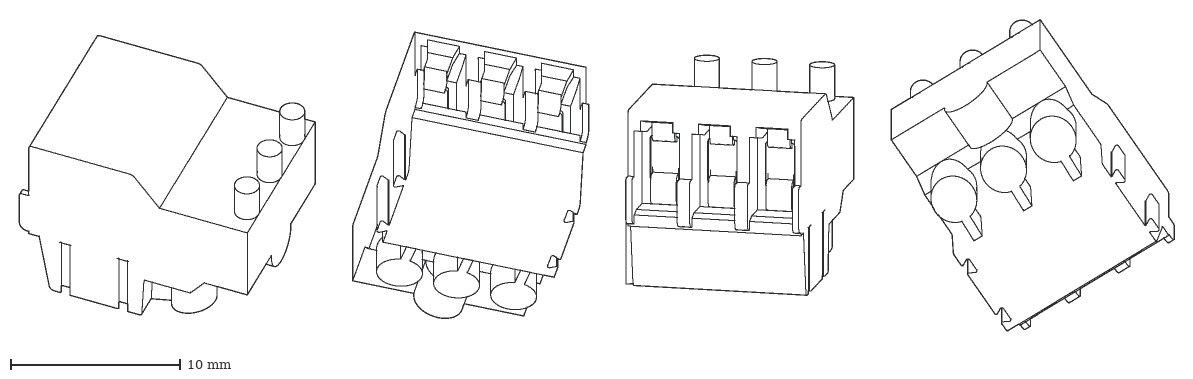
import cadquery as cq
import math

length = 14.6
height = 11.1
width = 10.5
pole_count = 3
pitch = width / pole_count
pole_centers = [(pole + 0.5) * pitch for pole in range(pole_count)]

face_x = 0.6
crown_end_x = 7.25
ledge_start_x = 8.98
ledge_z = 9.02
shoulder_z = 4.03
plug_top_x, plug_foot_x = 1.27, 1.95
plug_rear_foot_x, plug_rear_top_x = 7.84, 7.99
step_z = 2.9
step_end_x = 10.95
tail_x = 11.84
crown_front_radius = 0.22
crown_rear_radius = 0.5
plug_front_radius = 0.35
plug_rear_radius = 0.15
step_radius = 0.13

fin_width = 0.76
fin_bottom_z, fin_top_z = 4.2, 7.08
fin_bottom_radius = 0.53
fin_top_radius = 0.18

bay_width = pitch - fin_width
bay_back_x = 2.72
bay_mouth_x = 1.36
bay_lip_z, bay_floor_z = 4.73, 4.92
bay_lip_end_x = 1.18
bay_mouth_top_z, bay_top_z = 9.85, 9.67
notch_mouth_width, notch_width = 1.95, 1.55
notch_mouth_top_z, notch_top_z = 10.5, 10.25
notch_bottom_z = 8.76

wire_hole_width = 1.78
wire_hole_bottom_z, wire_hole_top_z = 6.38, 9.1
wire_hole_radius = 0.18
wire_hole_back_x = 2.92
clamp_front_x = 2.34
lower_clamp_width = 1.56
lower_clamp_bottom_z, lower_clamp_top_z = bay_floor_z, 6.79
lower_clamp_radius = 0.47
upper_clamp_width = 1.37
upper_clamp_bottom_z, upper_clamp_top_z = 8.76, 10.07
upper_clamp_radius = 0.5
bevel_top_z = 7.12
bevel_depth = 0.06

pin_radius = 0.75

socket_radius = 1.36
socket_x = tail_x - socket_radius
socket_web_width = 0.58
slant_start_x = 7.45
slant_end_z = 1.12
key_radius = 1.5
key_bottom_z = 2.3

dovetail_x = [2.93, 6.63]
rib_height = 0.58
rib_neck_half_width = 0.25
rib_neck_height = 0.07
rib_flare = 0.58
rib_corner_radius = 0.12
groove_clearance = 0.03
groove_lip_radius = 0.09


def side_profile(points, thickness):
    """Solid with an outline in XZ, running from y = 0 towards +Y."""
    return cq.Workplane("XZ").polyline(points).close().extrude(-thickness)


def box(x_range, y_center, y_width, z_range):
    """Box given by its X and Z ranges, centred on y_center."""
    return (
        cq.Workplane("XY")
        .box(x_range[1] - x_range[0], y_width, z_range[1] - z_range[0], centered=(False, True, False))
        .translate((x_range[0], y_center, z_range[0]))
    )


def round_edge(solid, x, z, radius):
    """Fillet the edge along Y that passes through (x, z)."""
    reach = 0.007
    selector = cq.selectors.BoxSelector(
        (x - reach, -length, z - reach), (x + reach, length, z + reach), boundingbox=False
    )
    return solid.edges("|Y").edges(selector).fillet(radius)


def make_housing():
    outline = [
        (face_x, height),
        (crown_end_x, height),
        (ledge_start_x, ledge_z),
        (length, ledge_z),
        (length, shoulder_z),
        (tail_x, shoulder_z),
        (step_end_x, step_z),
        (plug_rear_top_x, step_z),
        (plug_rear_foot_x, 0),
        (plug_foot_x, 0),
        (plug_top_x, shoulder_z),
        (face_x, shoulder_z),
    ]
    housing = side_profile(outline, width)
    housing = round_edge(housing, face_x, height, crown_front_radius)
    housing = round_edge(housing, crown_end_x, height, crown_rear_radius)
    housing = round_edge(housing, plug_foot_x, 0, plug_front_radius)
    housing = round_edge(housing, plug_rear_foot_x, 0, plug_rear_radius)
    return round_edge(housing, plug_rear_top_x, step_z, step_radius)


def make_fins():
    """One full-width bar; the bays later split it into fins."""
    bar = box((0, face_x), width / 2, width, (fin_bottom_z, fin_top_z))
    bar = round_edge(bar, 0, fin_top_z, fin_top_radius)
    return round_edge(bar, 0, fin_bottom_z, fin_bottom_radius)


def make_bay(y_center):
    """Void of one wire entry, including the gap between two fins."""
    outline = [
        (face_x, bay_lip_z),
        (bay_lip_end_x, bay_floor_z),
        (bay_back_x, bay_floor_z),
        (bay_back_x, bay_top_z),
        (bay_mouth_x, bay_top_z),
        (face_x, bay_mouth_top_z),
    ]
    room = side_profile(outline, bay_width).translate((0, y_center - bay_width / 2, 0))
    fin_gap = box((0, face_x), y_center, bay_width, (shoulder_z, height))
    mouth_height = notch_mouth_top_z - notch_bottom_z
    inner_height = notch_top_z - notch_bottom_z
    notch_mouth = (
        cq.Workplane("YZ", origin=(face_x, y_center, notch_bottom_z + mouth_height / 2))
        .rect(notch_mouth_width, mouth_height)
        .workplane(offset=bay_mouth_x - face_x)
        .center(0, (inner_height - mouth_height) / 2)
        .rect(notch_width, inner_height)
        .loft(ruled=True)
    )
    notch = box((bay_mouth_x, bay_back_x), y_center, notch_width, (notch_bottom_z, notch_top_z))
    return room.union(fin_gap).union(notch_mouth).union(notch)


def make_wire_hole(y_center):
    """Rounded hole in the back of a bay, with the undercut above the lower clamp."""
    hole = box(
        (bay_back_x, wire_hole_back_x), y_center, wire_hole_width, (wire_hole_bottom_z, wire_hole_top_z)
    )
    hole = hole.edges("|X").fillet(wire_hole_radius)
    bevel = side_profile(
        [
            (wire_hole_back_x, bevel_top_z),
            (wire_hole_back_x + bevel_depth, lower_clamp_top_z),
            (wire_hole_back_x, lower_clamp_top_z),
        ],
        lower_clamp_width,
    )
    return hole.union(bevel.translate((0, y_center - lower_clamp_width / 2, 0)))


def make_clamps(y_center):
    """Lower and upper clamp bars, rounded towards the wire entry."""
    lower = box(
        (clamp_front_x, wire_hole_back_x),
        y_center,
        lower_clamp_width,
        (lower_clamp_bottom_z, lower_clamp_top_z),
    )
    lower = lower.faces("<X").edges("|Y").fillet(lower_clamp_radius)
    upper = box(
        (clamp_front_x, wire_hole_back_x),
        y_center,
        upper_clamp_width,
        (upper_clamp_bottom_z, upper_clamp_top_z),
    )
    upper = round_edge(upper, clamp_front_x, upper_clamp_bottom_z, upper_clamp_radius)
    return lower.union(upper)


def make_pin(y_center):
    pin = cq.Workplane("XY", origin=(length - pin_radius, y_center, ledge_z))
    return pin.circle(pin_radius).extrude(height - ledge_z)


def make_sockets():
    """Round sockets tied to the plug by webs, cut off along the slanted underside."""
    sockets = cq.Workplane("XY")
    for y_center in pole_centers:
        column = cq.Workplane("XY", origin=(socket_x, y_center, 0)).circle(socket_radius).extrude(ledge_z)
        web = box((slant_start_x, socket_x), y_center, socket_web_width, (0, ledge_z))
        sockets = sockets.union(column).union(web)
    limits = side_profile(
        [
            (slant_start_x, 0),
            (tail_x, slant_end_z),
            (tail_x, shoulder_z),
            (step_end_x, ledge_z / 2),
            (slant_start_x, ledge_z / 2),
        ],
        width,
    )
    return sockets.intersect(limits)


def make_key():
    """Round-bottomed key under the rear, on the middle pole."""
    straight_bottom_z = key_bottom_z + key_radius
    sides = box((tail_x, length), width / 2, 2 * key_radius, (straight_bottom_z, shoulder_z))
    barrel = (
        cq.Workplane("YZ", origin=(tail_x, width / 2, straight_bottom_z))
        .circle(key_radius)
        .extrude(length - tail_x)
    )
    return sides.union(barrel)


def flare_half_width(y):
    return rib_neck_half_width + rib_flare * (y - rib_neck_height)


def make_rib(x):
    """Dovetail rib on the +Y side."""
    tip = flare_half_width(rib_height)
    rib = (
        cq.Workplane("XY", origin=(x, width, 0))
        .moveTo(-rib_neck_half_width, 0)
        .lineTo(-rib_neck_half_width, rib_neck_height)
        .lineTo(-tip, rib_height)
        .lineTo(tip, rib_height)
        .lineTo(rib_neck_half_width, rib_neck_height)
        .lineTo(rib_neck_half_width, 0)
        .close()
        .extrude(shoulder_z)
    )
    return rib.faces(">Y").edges("|Z").fillet(rib_corner_radius)


def make_groove(x):
    """Dovetail groove in the -Y side, with rounded lips, that clears a rib."""
    neck = rib_neck_half_width + groove_clearance
    mouth = neck + groove_lip_radius
    depth = rib_height + groove_clearance
    root = flare_half_width(rib_height) + groove_clearance
    lip_offset = groove_lip_radius * (1 - math.sqrt(0.5))
    groove = (
        cq.Workplane("XY", origin=(x, 0, 0))
        .moveTo(-mouth, 0)
        .threePointArc((-neck - lip_offset, lip_offset), (-neck, groove_lip_radius))
        .lineTo(-root, depth)
        .lineTo(root, depth)
        .lineTo(neck, groove_lip_radius)
        .threePointArc((neck + lip_offset, lip_offset), (mouth, 0))
        .close()
        .extrude(shoulder_z)
    )
    return groove.faces(">Y").edges("|Z").fillet(rib_corner_radius)


result = make_housing().union(make_fins()).union(make_sockets()).union(make_key())

for pole_y in pole_centers:
    result = result.cut(make_bay(pole_y)).cut(make_wire_hole(pole_y))
    result = result.union(make_clamps(pole_y)).union(make_pin(pole_y))

for rib_x in dovetail_x:
    result = result.union(make_rib(rib_x)).cut(make_groove(rib_x))